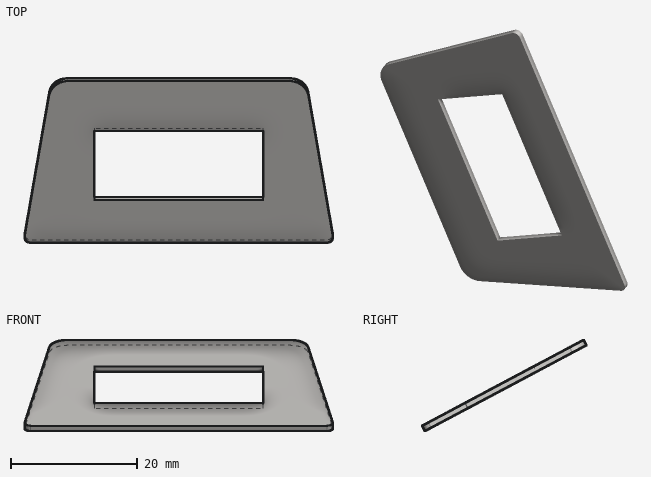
import cadquery as cq
import math

overall_width = 48.9
plate_depth = 29.05
thickness = 1.0
side_taper = 8.7
tilt = 28.0

front_radius = 1.0
back_radius = 3.0

window_width = 26.8
window_depth = 12.3
window_front_margin = 7.7

taper = math.radians(side_taper)
front_tangent = front_radius / math.tan((math.pi / 2 - taper) / 2)
front_half = overall_width / 2 - front_radius + front_tangent
back_half = front_half - plate_depth * math.tan(taper)


def tapered_plate():
    """Trapezoidal plate with rounded corners, front edge on the X axis."""
    outline = [
        (-front_half, 0),
        (front_half, 0),
        (back_half, plate_depth),
        (-back_half, plate_depth),
    ]
    plate = cq.Workplane("XY").polyline(outline).close().extrude(thickness)
    plate = plate.edges("|Z and <Y").fillet(front_radius)
    return plate.edges("|Z and >Y").fillet(back_radius)


def window():
    """Cutter for the window through the full thickness."""
    window_center = window_front_margin + window_depth / 2
    return (
        cq.Workplane("XY")
        .center(0, window_center)
        .rect(window_width, window_depth)
        .extrude(thickness)
    )


result = tapered_plate().cut(window()).rotate((0, 0, 0), (1, 0, 0), tilt)